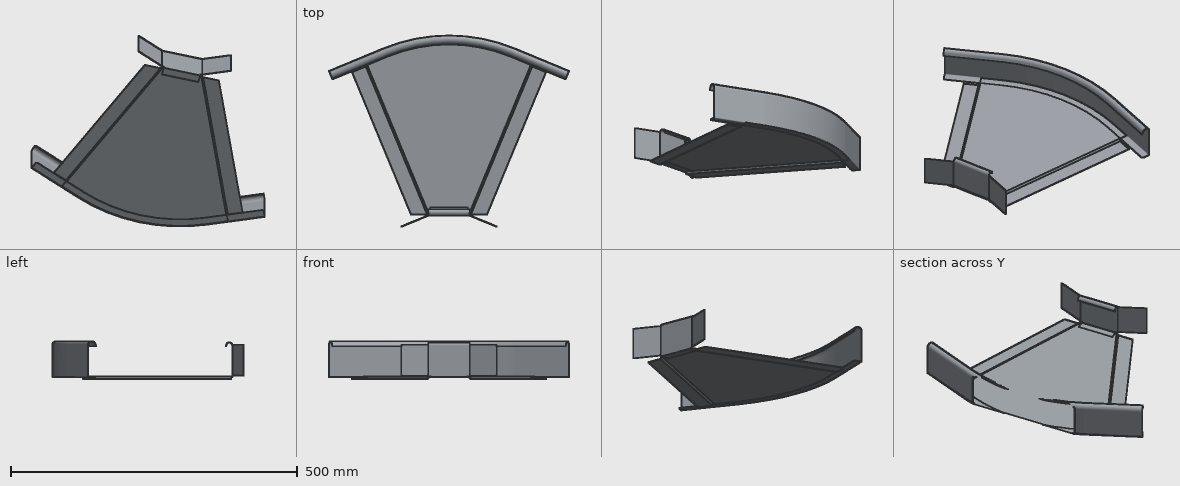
import cadquery as cq
import math

OVERALL_LENGTH = 418.8
OVERALL_HEIGHT = 66.5
BEND_ANGLE = 45.0
HALF_BEND = BEND_ANGLE / 2
SHEET = 1.0

INNER_BEND_RADIUS = SHEET
OUTER_BEND_RADIUS = INNER_BEND_RADIUS + SHEET
FOOT_WIDTH = 15.0
FOOT_CORNER_RADIUS = 3.0

FLOOR_TOP = 5.0
FLOOR_BOTTOM = FLOOR_TOP - SHEET
FOOT_BOTTOM = FLOOR_BOTTOM - SHEET

RAIL_RADIUS = 300.0
RAIL_CURL_RADIUS = 7.33
RAIL_CURL_END_ANGLE = 25.0
RAIL_LIP_LENGTH = 5.0

WALL_FACE_Y = -14.5
WALL_HALF_WIDTH = 36.0
WALL_FOOT_HALF_WIDTH = 32.5
WALL_TOP = 64.5
WALL_CURL_RADIUS = 6.0
WALL_LIP_LENGTH = 1.0
WING_LENGTH = 50.5
WING_BOTTOM = 6.07
WING_TOP = 60.5
WING_CORNER_RADIUS = 2.0

FOLD_OFFSET = 37.5
JOGGLE_RUN = 2.5
TONGUE_WIDTH = 26.0
TONGUE_END_GAP = 17.0

SIN_HALF = math.sin(math.radians(HALF_BEND))
COS_HALF = math.cos(math.radians(HALF_BEND))
RAIL_STRAIGHT = (OVERALL_LENGTH / 2 - RAIL_RADIUS * SIN_HALF) / COS_HALF
FLOOR_RADIUS = RAIL_RADIUS - OUTER_BEND_RADIUS
FLOOR_INNER_Y = WALL_FACE_Y + OUTER_BEND_RADIUS

Z_AXIS = ((0, 0, 0), (0, 0, 1))


def wall_profile(plane, face, inward, top, curl_radius, curl_end_angle, lip_length):
    """Closed sheet section: foot, bend, upright wall, curl and lip.

    face is the coordinate of the wall's outer face and inward (+1 or -1) points to the foot side.
    """
    curl_centre_z = top - curl_radius

    def at(depth, z):
        return (face + inward * depth, z)

    def on_curl(radius, angle, lip=0.0):
        a = math.radians(angle)
        depth = curl_radius + radius * math.cos(a) + lip * math.sin(a)
        return at(depth, curl_centre_z + radius * math.sin(a) - lip * math.cos(a))

    def on_bend(radius):
        offset = OUTER_BEND_RADIUS - radius * math.sqrt(0.5)
        return at(offset, FOOT_BOTTOM + offset)

    bend_top = FOOT_BOTTOM + OUTER_BEND_RADIUS
    inner_radius = curl_radius - SHEET
    return (
        cq.Workplane(plane)
        .moveTo(*at(FOOT_WIDTH, FOOT_BOTTOM))
        .lineTo(*at(OUTER_BEND_RADIUS, FOOT_BOTTOM))
        .threePointArc(on_bend(OUTER_BEND_RADIUS), at(0, bend_top))
        .lineTo(*at(0, curl_centre_z))
        .threePointArc(on_curl(curl_radius, 90), on_curl(curl_radius, curl_end_angle))
        .lineTo(*on_curl(curl_radius, curl_end_angle, lip_length))
        .lineTo(*on_curl(inner_radius, curl_end_angle, lip_length))
        .lineTo(*on_curl(inner_radius, curl_end_angle))
        .threePointArc(on_curl(inner_radius, 90), at(SHEET, curl_centre_z))
        .lineTo(*at(SHEET, bend_top))
        .threePointArc(on_bend(INNER_BEND_RADIUS), at(OUTER_BEND_RADIUS, FLOOR_BOTTOM))
        .lineTo(*at(FOOT_WIDTH, FLOOR_BOTTOM))
        .close()
    )


def rail_profile():
    """Section of the outer rail, standing on the X axis."""
    return wall_profile("XZ", RAIL_RADIUS, -1, OVERALL_HEIGHT,
                        RAIL_CURL_RADIUS, RAIL_CURL_END_ANGLE, RAIL_LIP_LENGTH)


def make_rail():
    """Outer rail: an arc with a straight run at each end."""
    arc_start = 90 - HALF_BEND
    arc = rail_profile().revolve(BEND_ANGLE, (0, 0), (0, 1)).rotate(*Z_AXIS, arc_start)
    straight = (
        rail_profile().extrude(RAIL_STRAIGHT)
        .edges("|Z").edges("<X").edges("<Y").fillet(FOOT_CORNER_RADIUS)
        .rotate(*Z_AXIS, arc_start)
    )
    return arc.union(straight).union(straight.mirror("YZ"))


def make_wing():
    """Right-hand wing of the inner wall, bent outward along the neighbouring tray."""
    mitre = SHEET * math.tan(math.radians(HALF_BEND / 2))
    tip_x = WALL_HALF_WIDTH + WING_LENGTH * COS_HALF
    tip_y = WALL_FACE_Y - WING_LENGTH * SIN_HALF
    tip_inner_x = tip_x + SHEET * SIN_HALF
    plan = (
        cq.Workplane("XY")
        .polyline([
            (WALL_HALF_WIDTH, WALL_FACE_Y),
            (tip_x, tip_y),
            (tip_inner_x, tip_y + SHEET * COS_HALF),
            (WALL_HALF_WIDTH + mitre, WALL_FACE_Y + SHEET),
            (WALL_HALF_WIDTH, WALL_FACE_Y + SHEET),
        ])
        .close()
        .extrude(WALL_TOP)
    )
    width = tip_inner_x - WALL_HALF_WIDTH
    height = WING_TOP - WING_BOTTOM
    rounded_outline = (
        cq.Workplane("XY")
        .box(width, 2 * WING_LENGTH, height)
        .edges("|Y").fillet(WING_CORNER_RADIUS)
        .translate((WALL_HALF_WIDTH + width / 2, WALL_FACE_Y, WING_BOTTOM + height / 2))
    )
    return plan.intersect(rounded_outline)


def make_inner_wall():
    """Short inner wall with a curled top edge and two wings."""
    wall = (
        wall_profile("YZ", WALL_FACE_Y, 1, WALL_TOP, WALL_CURL_RADIUS, 0.0, WALL_LIP_LENGTH)
        .extrude(WALL_HALF_WIDTH, both=True)
    )
    relief_width = WALL_HALF_WIDTH - WALL_FOOT_HALF_WIDTH
    for side in (-1, 1):
        relief = (
            cq.Workplane("XY")
            .box(relief_width, 2 * FOOT_WIDTH, 2 * FLOOR_TOP)
            .translate((side * (WALL_HALF_WIDTH - relief_width / 2), WALL_FACE_Y, 0))
        )
        wall = wall.cut(relief)
    wing = make_wing()
    return wall.union(wing).union(wing.mirror("YZ"))


def make_tongue():
    """Right-hand joggled tongue of the floor, which slides under the neighbouring tray."""
    tongue_edge = FOLD_OFFSET + JOGGLE_RUN + TONGUE_WIDTH
    fold_end = FOLD_OFFSET + JOGGLE_RUN
    far_end = RAIL_RADIUS - TONGUE_END_GAP
    strip = (
        cq.Workplane("XZ", origin=(0, far_end, 0))
        .polyline([
            (FOLD_OFFSET, FLOOR_TOP),
            (fold_end, SHEET),
            (tongue_edge, SHEET),
            (tongue_edge, 0),
            (fold_end - SHEET, 0),
            (FOLD_OFFSET - SHEET, FLOOR_BOTTOM),
            (FOLD_OFFSET - SHEET, FLOOR_TOP),
        ])
        .close()
        .extrude(OVERALL_LENGTH)
        .rotate(*Z_AXIS, -HALF_BEND)
    )
    beyond_inner_edge = (
        cq.Workplane("XY")
        .box(2 * OVERALL_LENGTH, OVERALL_LENGTH, OVERALL_HEIGHT)
        .translate((0, FLOOR_INNER_Y - OVERALL_LENGTH / 2, 0))
    )
    return strip.cut(beyond_inner_edge)


def make_floor():
    """Fan-shaped floor with a joggled tongue along each side."""
    arc_end_x = FLOOR_RADIUS * SIN_HALF
    arc_end_y = FLOOR_RADIUS * COS_HALF
    outer_x = arc_end_x + FOLD_OFFSET * COS_HALF
    outer_y = arc_end_y - FOLD_OFFSET * SIN_HALF
    inner_x = outer_x - (outer_y - FLOOR_INNER_Y) * SIN_HALF / COS_HALF
    panel = (
        cq.Workplane("XY", origin=(0, 0, FLOOR_BOTTOM))
        .moveTo(-inner_x, FLOOR_INNER_Y)
        .lineTo(inner_x, FLOOR_INNER_Y)
        .lineTo(outer_x, outer_y)
        .lineTo(arc_end_x, arc_end_y)
        .threePointArc((0, FLOOR_RADIUS), (-arc_end_x, arc_end_y))
        .lineTo(-outer_x, outer_y)
        .close()
        .extrude(SHEET)
    )
    tongue = make_tongue()
    return panel.union(tongue).union(tongue.mirror("YZ"))


rail = make_rail()
inner_wall = make_inner_wall()
floor = make_floor()

result = cq.Compound.makeCompound([rail.val(), inner_wall.val(), floor.val()])